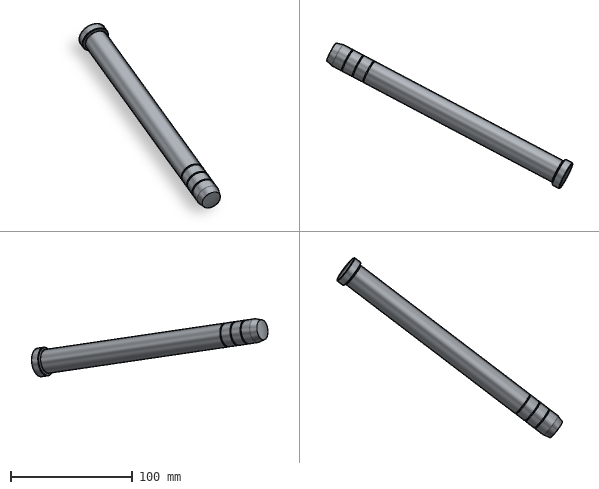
import cadquery as cq
import math

total_length = 220.0
pin_radius = 20.0 / 2
head_radius = 24.0 / 2

head_length = 7.0
head_chamfer = 0.5

groove_radius = 0.5
tip_groove_count = 3
tip_groove_pitch = 10.0
first_tip_groove_center = 185.0
undercut_center = head_length + groove_radius

tip_length = 6.0
tip_half_angle = 15.0
tip_start = total_length - tip_length
tip_end_radius = pin_radius - tip_length * math.tan(math.radians(tip_half_angle))


def revolve_about_pin_axis(profile):
    """Full revolution of a closed XY profile about the X axis."""
    return profile.revolve(360, (0, 0, 0), (1, 0, 0))


def make_blank():
    """Headed pin with chamfered head rims and a conical tip, without grooves."""
    profile = (
        cq.Workplane("XY")
        .lineTo(0, head_radius - head_chamfer)
        .lineTo(head_chamfer, head_radius)
        .lineTo(head_length - head_chamfer, head_radius)
        .lineTo(head_length, head_radius - head_chamfer)
        .lineTo(head_length, pin_radius)
        .lineTo(tip_start, pin_radius)
        .lineTo(total_length, tip_end_radius)
        .lineTo(total_length, 0)
        .close()
    )
    return revolve_about_pin_axis(profile)


def groove_cutter(center):
    """Ring that cuts a half-round groove around the pin, centred at the given X."""
    start = center - groove_radius
    end = center + groove_radius
    section = (
        cq.Workplane("XY")
        .moveTo(start, pin_radius)
        .threePointArc((center, pin_radius - groove_radius), (end, pin_radius))
        .lineTo(end, head_radius)
        .lineTo(start, head_radius)
        .close()
    )
    return revolve_about_pin_axis(section)


def cut_grooves(body):
    """Cut the undercut behind the head and the evenly spaced tip grooves."""
    body = body.cut(groove_cutter(undercut_center))
    for index in range(tip_groove_count):
        body = body.cut(groove_cutter(first_tip_groove_center + index * tip_groove_pitch))
    return body


result = cut_grooves(make_blank())